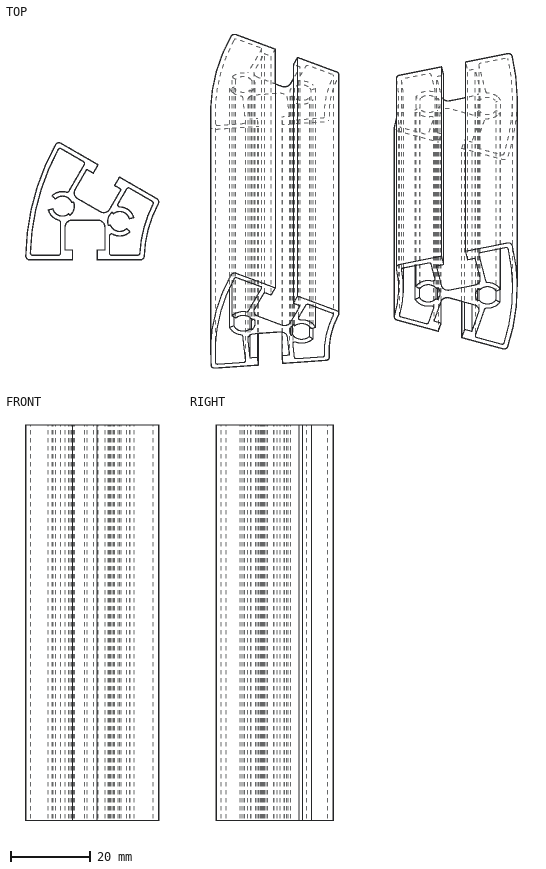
import cadquery as cq
import math

LENGTH = 100.0
BEND_ANGLE = 30.0
INNER_RADIUS = 30.0
OUTER_RADIUS = 60.0
MIDDLE_RADIUS = (INNER_RADIUS + OUTER_RADIUS) / 2
CORNER_FILLET = 1.0

WALL = 1.2
CAVITY_FILLET = 0.5
JUNCTION_FILLET = 0.5

SLOT_WIDTH = 10.0
SLOT_DEPTH = 10.0
SLOT_OPENING = 6.2
LIP_THICKNESS = 2.5
SLOT_FILLET = 1.7

CHANNEL_OFFSET = 7.5
CHANNEL_RADIUS = 2.5
BOSS_RADIUS = CHANNEL_RADIUS + WALL
GAP_HALF_ANGLE = 30.0
RELIEF_RADIUS = 3.0
RELIEF_HALF_ANGLE = 35.0

SYMMETRY_ANGLE = 180.0 - BEND_ANGLE / 2


def polar(radius, angle, center=(0, 0)):
    """Point at a radius and an angle in degrees around a center."""
    turn = math.radians(angle)
    return (center[0] + radius * math.cos(turn), center[1] + radius * math.sin(turn))


def mirrored(point):
    """Reflect a point across the symmetry plane."""
    radius = math.hypot(*point)
    angle = math.degrees(math.atan2(point[1], point[0]))
    return polar(radius, 2 * SYMMETRY_ANGLE - angle)


def make_body():
    """Solid bent block with rounded outer corners."""
    end_angle = 180.0 - BEND_ANGLE
    return (
        cq.Workplane("XY")
        .moveTo(-OUTER_RADIUS, 0)
        .threePointArc(polar(OUTER_RADIUS, SYMMETRY_ANGLE), polar(OUTER_RADIUS, end_angle))
        .lineTo(*polar(INNER_RADIUS, end_angle))
        .threePointArc(polar(INNER_RADIUS, SYMMETRY_ANGLE), (-INNER_RADIUS, 0))
        .close()
        .extrude(LENGTH)
        .edges("|Z")
        .fillet(CORNER_FILLET)
    )


def make_cavity(side, wall_radius, boss_center):
    """Hollow between a curved wall and the slot webs; side is -1 outside, 1 inside."""
    web_x = -MIDDLE_RADIUS + side * (SLOT_WIDTH / 2 + WALL)
    wall_corner = (-math.sqrt(wall_radius**2 - WALL**2), WALL)
    web_corner = (web_x, WALL)
    webs_meet = (web_x, -web_x * math.tan(math.radians(BEND_ANGLE / 2)))
    cavity = (
        cq.Workplane("XY")
        .moveTo(*wall_corner)
        .threePointArc(polar(wall_radius, SYMMETRY_ANGLE), mirrored(wall_corner))
        .lineTo(*mirrored(web_corner))
        .lineTo(*webs_meet)
        .lineTo(*web_corner)
        .close()
        .extrude(LENGTH)
        .edges("|Z")
        .fillet(CAVITY_FILLET)
        .cut(make_cylinder(boss_center, BOSS_RADIUS))
    )
    boss_zone = cq.selectors.BoxSelector(
        (boss_center[0] - BOSS_RADIUS, boss_center[1] - BOSS_RADIUS, 0),
        (boss_center[0] + BOSS_RADIUS, boss_center[1] + BOSS_RADIUS, LENGTH),
    )
    return cavity.edges("|Z").edges(boss_zone).fillet(JUNCTION_FILLET)


def make_slot():
    """T-slot entering from the face on the XZ plane."""
    chamber = (
        cq.Workplane("XY")
        .center(-MIDDLE_RADIUS, LIP_THICKNESS)
        .rect(SLOT_WIDTH, 2 * (SLOT_DEPTH - LIP_THICKNESS))
        .extrude(LENGTH)
        .edges("|Z")
        .fillet(SLOT_FILLET)
    )
    above_lips = (
        cq.Workplane("XY")
        .center(-MIDDLE_RADIUS, (LIP_THICKNESS + SLOT_DEPTH) / 2)
        .rect(SLOT_WIDTH, SLOT_DEPTH - LIP_THICKNESS)
        .extrude(LENGTH)
    )
    opening = (
        cq.Workplane("XY")
        .center(-MIDDLE_RADIUS, 0)
        .rect(SLOT_OPENING, 2 * LIP_THICKNESS)
        .extrude(LENGTH)
    )
    return chamber.intersect(above_lips).union(opening)


def make_cylinder(center, radius):
    """Full-length cylinder parallel to Z."""
    return cq.Workplane("XY").center(*center).circle(radius).extrude(LENGTH)


def make_sector(center, radius, angle, half_angle):
    """Pie-shaped prism opening toward an angle."""
    return (
        cq.Workplane("XY")
        .moveTo(*center)
        .lineTo(*polar(radius, angle - half_angle, center))
        .threePointArc(polar(radius, angle, center), polar(radius, angle + half_angle, center))
        .close()
        .extrude(LENGTH)
    )


def mirror_solid(shape):
    """Reflect a solid across the symmetry plane."""
    flipped = shape.mirror("XZ")
    return flipped.rotate((0, 0, 0), (0, 0, 1), 2 * SYMMETRY_ANGLE)


def make_profile():
    """Finished profile: body less its cavities, screw channels and T-slots."""
    profile = make_body()
    sides = ((-1, OUTER_RADIUS - WALL), (1, INNER_RADIUS + WALL))
    for side, wall_radius in sides:
        center = polar(MIDDLE_RADIUS - side * CHANNEL_OFFSET, SYMMETRY_ANGLE)
        profile = profile.cut(make_cavity(side, wall_radius, center))

        wall_angle = SYMMETRY_ANGLE if side < 0 else SYMMETRY_ANGLE + 180
        core_angle = wall_angle + 180
        gap_reach = BOSS_RADIUS + WALL / 2
        profile = profile.cut(make_cylinder(center, CHANNEL_RADIUS))
        profile = profile.cut(make_sector(center, gap_reach, wall_angle, GAP_HALF_ANGLE))
        profile = profile.cut(make_sector(center, RELIEF_RADIUS, core_angle, RELIEF_HALF_ANGLE))

    slot = make_slot()
    return profile.cut(slot).cut(mirror_solid(slot))


result = make_profile()